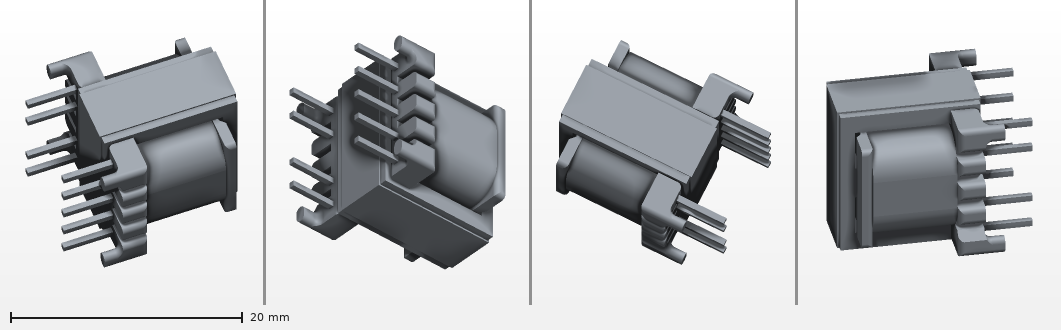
import cadquery as cq


CORE_WIDTH = 6.26
CORE_HEIGHT = 13.31
HALF_CORE_LENGTH = 6.15
WINDOW_HEIGHT = 10.04
WINDOW_DEPTH = 4.87
LEG_CLEARANCE = 0.12

TAPE_THICKNESS = 0.16
TAPE_WIDTH = 4.84

BORE_WIDTH = CORE_WIDTH + 2 * LEG_CLEARANCE
BORE_HEIGHT = 3.14
LEG_HEIGHT = BORE_HEIGHT - 2 * LEG_CLEARANCE
TUBE_WALL = 0.12
TUBE_WIDTH = BORE_WIDTH + 2 * TUBE_WALL
TUBE_HEIGHT = BORE_HEIGHT + 2 * TUBE_WALL
WINDING_BUILD = 2.88
WINDING_WIDTH = TUBE_WIDTH + 2 * WINDING_BUILD
WINDING_HEIGHT = TUBE_HEIGHT + 2 * WINDING_BUILD
WINDING_BACK = 3.88
WINDING_FRONT = -3.52

ROUND = 0.5
FLANGE_HEIGHT = 9.84
FRONT_PLATE_HEIGHT = 10.0
WINDOW_GAP = 0.48
FLANGE_FACE = WINDOW_DEPTH - WINDOW_GAP

BASE_HALF_WIDTH = 6.91
BASE_HALF_HEIGHT = 6.355
BASE_FRONT = -5.89
RAIL_INNER = BORE_WIDTH / 2
SLOT_BOTTOM = 4.33
SLOT_HEIGHT = 0.79
SLOT_CENTRES = (-3.59, -1.15, 1.28, 3.65)
KEY_CHAMFER = 0.8

FOOT_WIDTH = 2 * ROUND
FOOT_HEIGHT = 1.53
FOOT_END = -7.59
FOOT_ROOT_RADIUS = 0.55
FOOT_PLATE_MARGIN = 0.9
FOOT_X = BASE_HALF_WIDTH - FOOT_WIDTH / 2
FOOT_Z = BASE_HALF_HEIGHT - FOOT_HEIGHT / 2

PIN_SIZE = 0.55
PIN_X = 4.26
PIN_PITCH = 2.51
PIN_END = -10.47
PIN_ROWS = {-1: (-2, -1, 1, 2), 1: (-2, -1, 0, 1, 2)}


def block(x_range, y_range, z_range):
    """Box between two limits on each axis."""
    size = [high - low for low, high in (x_range, y_range, z_range)]
    corner = (x_range[0], y_range[0], z_range[0])
    return cq.Workplane("XY").box(*size, centered=False).translate(corner)


def centred_block(width, y_range, height):
    """Box centred on the coil axis."""
    return block((-width / 2, width / 2), y_range, (-height / 2, height / 2))


def core_half(back_side):
    """E-shaped core half on the +Y (back_side = 1) or -Y (back_side = -1) side."""
    core = centred_block(CORE_WIDTH, (0, HALF_CORE_LENGTH), CORE_HEIGHT)
    core = core.cut(centred_block(CORE_WIDTH, (0, WINDOW_DEPTH), WINDOW_HEIGHT))
    core = core.union(centred_block(CORE_WIDTH, (0, WINDOW_DEPTH), LEG_HEIGHT))
    return core if back_side > 0 else core.mirror("XZ")


def tape_loop():
    """Closed loop of tape around the outside of the core."""
    outer_y = HALF_CORE_LENGTH + TAPE_THICKNESS
    outer = centred_block(TAPE_WIDTH, (-outer_y, outer_y), CORE_HEIGHT + 2 * TAPE_THICKNESS)
    return outer.cut(centred_block(TAPE_WIDTH, (-HALF_CORE_LENGTH, HALF_CORE_LENGTH), CORE_HEIGHT))


def wire_winding():
    """Wire coil with corners rounded about the corners of the tube."""
    length = (WINDING_FRONT, WINDING_BACK)
    coil = centred_block(WINDING_WIDTH, length, WINDING_HEIGHT).edges("|Y").fillet(WINDING_BUILD)
    return coil.cut(centred_block(TUBE_WIDTH, length, TUBE_HEIGHT))


def back_flange():
    """Flange at the +Y end, thicker beside the core than inside its window."""
    flange = centred_block(WINDING_WIDTH, (WINDING_BACK, WINDOW_DEPTH), FLANGE_HEIGHT)
    flange = flange.edges("|Y").fillet(ROUND)
    rounded_front = centred_block(WINDING_WIDTH, (WINDING_BACK, WINDOW_DEPTH), FLANGE_HEIGHT)
    rounded_front = rounded_front.edges("<Y and |Z").fillet(ROUND)
    recess = (
        cq.Workplane("XY")
        .moveTo(-RAIL_INNER, FLANGE_FACE)
        .lineTo(RAIL_INNER, FLANGE_FACE)
        .lineTo(RAIL_INNER + WINDOW_GAP, WINDOW_DEPTH)
        .lineTo(-RAIL_INNER - WINDOW_GAP, WINDOW_DEPTH)
        .close()
        .extrude(FLANGE_HEIGHT / 2, both=True)
    )
    return flange.intersect(rounded_front).cut(recess)


def comb_outline(has_key):
    """Comb-shaped prism along Y that trims a +X rail and its feet."""
    depth = (FOOT_END, WINDING_FRONT)
    comb = block((RAIL_INNER, SLOT_BOTTOM), depth, (-BASE_HALF_HEIGHT, BASE_HALF_HEIGHT))
    lower_edges = [-BASE_HALF_HEIGHT] + [z + SLOT_HEIGHT / 2 for z in SLOT_CENTRES]
    upper_edges = [z - SLOT_HEIGHT / 2 for z in SLOT_CENTRES] + [BASE_HALF_HEIGHT]
    for number, limits in enumerate(zip(lower_edges, upper_edges)):
        tooth = block((RAIL_INNER, BASE_HALF_WIDTH), depth, limits)
        if has_key and number == 0:
            tooth = tooth.edges(">X and <Z and |Y").fillet(ROUND)
            tooth = tooth.cut(key_corner(limits[1]))
        else:
            tooth = tooth.edges(">X and |Y").fillet(ROUND)
        comb = comb.union(tooth)
    return comb


def key_corner(tooth_top):
    """Triangular prism that bevels the lowest tooth."""
    return (
        cq.Workplane("XZ", origin=(0, WINDING_FRONT, 0))
        .moveTo(BASE_HALF_WIDTH, tooth_top)
        .lineTo(BASE_HALF_WIDTH - KEY_CHAMFER, tooth_top)
        .lineTo(BASE_HALF_WIDTH, tooth_top - KEY_CHAMFER)
        .close()
        .extrude(WINDING_FRONT - FOOT_END)
    )


def foot(z_centre):
    """Stadium-shaped standoff on a thin plate, with a fillet around its root."""
    plate_x = FOOT_WIDTH / 2 + FOOT_PLATE_MARGIN
    plate_z = FOOT_HEIGHT / 2 + FOOT_PLATE_MARGIN
    plate = block(
        (FOOT_X - plate_x, FOOT_X + plate_x),
        (BASE_FRONT, BASE_FRONT + ROUND),
        (z_centre - plate_z, z_centre + plate_z),
    )
    post = (
        cq.Workplane("XZ", origin=(FOOT_X, BASE_FRONT, z_centre))
        .slot2D(FOOT_HEIGHT, FOOT_WIDTH, 90)
        .extrude(BASE_FRONT - FOOT_END)
    )
    root = cq.selectors.BoxSelector(
        (FOOT_X - FOOT_WIDTH, BASE_FRONT - ROUND / 10, z_centre - FOOT_HEIGHT),
        (FOOT_X + FOOT_WIDTH, BASE_FRONT + ROUND / 10, z_centre + FOOT_HEIGHT),
    )
    return plate.union(post).edges(root).fillet(FOOT_ROOT_RADIUS)


def pin(z_centre):
    """Square pin standing on the front of a +X rail."""
    half = PIN_SIZE / 2
    return block((PIN_X - half, PIN_X + half), (PIN_END, BASE_FRONT), (z_centre - half, z_centre + half))


def base_rail(side):
    """Comb-shaped rail with feet and pins on the +X (side = 1) or -X (side = -1) side."""
    rail = block(
        (RAIL_INNER, BASE_HALF_WIDTH),
        (BASE_FRONT, WINDING_FRONT),
        (-BASE_HALF_HEIGHT, BASE_HALF_HEIGHT),
    )
    rail = rail.edges("|Z and >X and >Y").fillet(ROUND)
    rail = rail.edges("|Z and <X and <Y").fillet(ROUND)
    for z_centre in (-FOOT_Z, FOOT_Z):
        rail = rail.union(foot(z_centre))
    rail = rail.intersect(comb_outline(has_key=side < 0))
    for row in PIN_ROWS[side]:
        rail = rail.union(pin(row * PIN_PITCH))
    return rail if side > 0 else rail.mirror("YZ")


def bobbin_body():
    """Tube with its back flange, front plate and the two pin rails, in one piece."""
    body = centred_block(TUBE_WIDTH, (WINDING_FRONT, WINDING_BACK), TUBE_HEIGHT)
    body = body.union(back_flange())
    body = body.union(centred_block(BORE_WIDTH, (-FLANGE_FACE, WINDING_FRONT), FRONT_PLATE_HEIGHT))
    for side in (-1, 1):
        body = body.union(base_rail(side))
    return body.cut(centred_block(BORE_WIDTH, (-WINDOW_DEPTH, WINDOW_DEPTH), BORE_HEIGHT))


core_back = core_half(1)
core_front = core_half(-1)
tape = tape_loop()
winding = wire_winding()
bobbin = bobbin_body()

bodies = (core_back, core_front, tape, winding, bobbin)
result = cq.Compound.makeCompound([body.solids().val() for body in bodies])